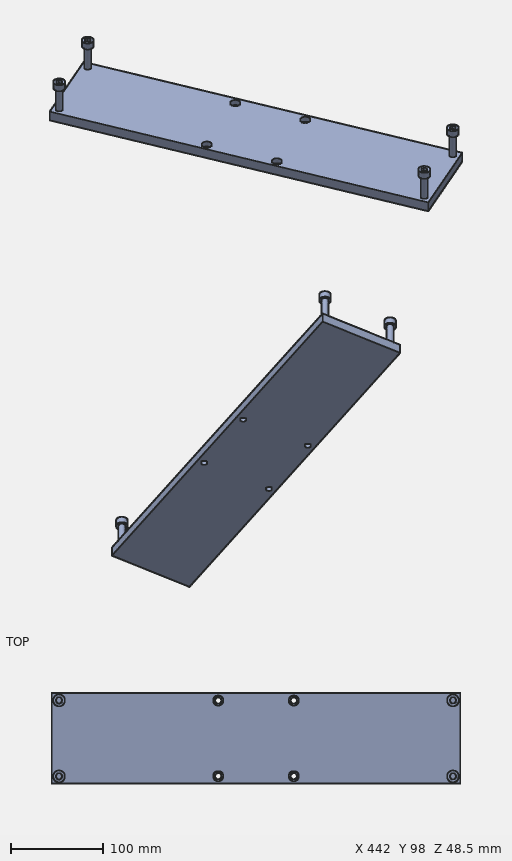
import cadquery as cq
import math

plate_length = 442.0
plate_width = 98.0
plate_thickness = 12.0

total_height = 48.5
screw_edge_distance = 8.0
shank_diameter = 8.0
head_diameter = 13.0
head_height = 8.0
socket_across_flats = 6.0
socket_depth = 4.0

hole_pitch = 81.8
hole_diameter = 6.5
counterbore_diameter = 11.0
counterbore_depth = 6.5

head_underside = total_height - head_height
socket_across_corners = socket_across_flats / math.cos(math.radians(30))
screw_pitch_x = plate_length - 2 * screw_edge_distance
screw_pitch_y = plate_width - 2 * screw_edge_distance


def make_plate():
    """Rectangular plate with four counterbored through holes."""
    return (
        cq.Workplane("XY")
        .box(plate_length, plate_width, plate_thickness, centered=(True, True, False))
        .faces(">Z")
        .workplane()
        .rarray(hole_pitch, hole_pitch, 2, 2)
        .cboreHole(hole_diameter, counterbore_diameter, counterbore_depth)
    )


def make_screw():
    """Socket-head screw whose shank reaches the plate underside."""
    shank = cq.Workplane("XY").circle(shank_diameter / 2).extrude(head_underside)
    head = (
        cq.Workplane("XY")
        .workplane(offset=head_underside)
        .circle(head_diameter / 2)
        .extrude(head_height)
    )
    socket = (
        cq.Workplane("XY")
        .workplane(offset=total_height)
        .polygon(6, socket_across_corners)
        .extrude(-socket_depth)
    )
    return shank.union(head).cut(socket)


result = make_plate()
screw = make_screw()
for side_x in (-1, 1):
    for side_y in (-1, 1):
        position = (side_x * screw_pitch_x / 2, side_y * screw_pitch_y / 2, 0)
        result = result.union(screw.translate(position))